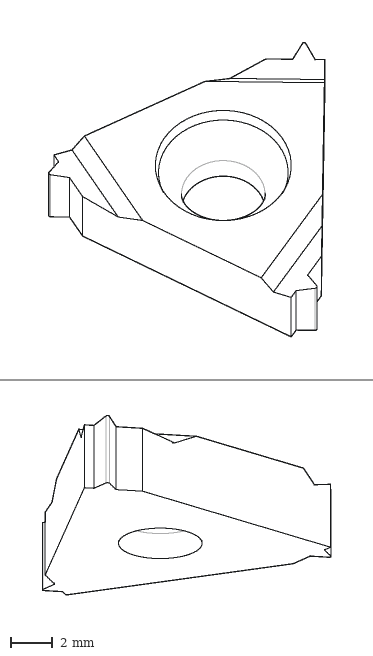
import cadquery as cq
import math

CORNERS = 3
CORNER_ANGLE = 360 / CORNERS
INSCRIBED_RADIUS = 9.525 / 2
THICKNESS = 3.65

NOSE_DISTANCE = 6.62
TIP_DISTANCE = 7.448
TOOTH_OFFSET = 1.0
TOOTH_HALF_ANGLE = math.radians(30)
TIP_RADIUS = 0.10

GROOVE_START = 4.95
GROOVE_DEPTH = 0.68
GROOVE_WALL_ANGLE = math.radians(45)
RAKE_ANGLE = math.radians(15)
GROOVE_CLEARANCE = 1.0

BORE_RADIUS = 2.0
SEAT_RADIUS = 3.10
MOUTH_RADIUS = 3.25
MOUTH_DEPTH = 0.58
SEAT_CURVE_RADIUS = 2.0


def rotated(shape, index):
    """Copy of a corner shape turned to corner number `index`."""
    return shape.rotate((0, 0, 0), (0, 0, 1), index * CORNER_ANGLE)


def make_triangle():
    """Triangular prism, flat on the -X side, with sharp corners."""
    circumscribed_diameter = 4 * INSCRIBED_RADIUS
    return cq.Workplane("XY").polygon(CORNERS, circumscribed_diameter).extrude(THICKNESS)


def make_corner_trim():
    """Block that removes the sharp -Y corner beyond the nose flat."""
    sharp_corner_distance = INSCRIBED_RADIUS * math.sqrt(3)
    trim_length = sharp_corner_distance - NOSE_DISTANCE
    trim_width = trim_length * math.tan(math.radians(180 / CORNERS))
    return (
        cq.Workplane("XY")
        .box(trim_width, trim_length, THICKNESS, centered=False)
        .translate((-INSCRIBED_RADIUS, -sharp_corner_distance, 0))
    )


def make_tooth():
    """Pointed thread tooth with a rounded tip on the nose flat of the -Y corner."""
    center_x = -INSCRIBED_RADIUS + TOOTH_OFFSET
    tip_y = -TIP_DISTANCE
    round_center_y = tip_y + TIP_RADIUS
    sharp_tip_y = round_center_y - TIP_RADIUS / math.sin(TOOTH_HALF_ANGLE)
    half_base = (-NOSE_DISTANCE - sharp_tip_y) * math.tan(TOOTH_HALF_ANGLE)
    tangent_x = TIP_RADIUS * math.cos(TOOTH_HALF_ANGLE)
    tangent_y = round_center_y - TIP_RADIUS * math.sin(TOOTH_HALF_ANGLE)
    return (
        cq.Workplane("XY")
        .moveTo(center_x - half_base, -NOSE_DISTANCE)
        .lineTo(center_x - tangent_x, tangent_y)
        .threePointArc((center_x, tip_y), (center_x + tangent_x, tangent_y))
        .lineTo(center_x + half_base, -NOSE_DISTANCE)
        .close()
        .extrude(THICKNESS)
    )


def make_groove():
    """Cutter for the chip groove of the -Y corner: a steep wall and a rising rake face."""
    bottom_y = -GROOVE_START - GROOVE_DEPTH / math.tan(GROOVE_WALL_ANGLE)
    bottom_z = THICKNESS - GROOVE_DEPTH
    outer_y = -TIP_DISTANCE - GROOVE_CLEARANCE
    outer_z = bottom_z + (bottom_y - outer_y) * math.tan(RAKE_ANGLE)
    top_z = THICKNESS + GROOVE_CLEARANCE
    half_length = INSCRIBED_RADIUS + GROOVE_CLEARANCE
    return (
        cq.Workplane("YZ")
        .moveTo(-GROOVE_START, THICKNESS)
        .lineTo(bottom_y, bottom_z)
        .lineTo(outer_y, outer_z)
        .lineTo(outer_y, top_z)
        .lineTo(-GROOVE_START, top_z)
        .close()
        .extrude(half_length, both=True)
    )


def make_screw_hole():
    """Revolved cutter for the screw hole."""
    curve_center_r = BORE_RADIUS + SEAT_CURVE_RADIUS
    seat_z = THICKNESS - MOUTH_DEPTH
    seat_angle = math.acos((curve_center_r - SEAT_RADIUS) / SEAT_CURVE_RADIUS)
    curve_center_z = seat_z - SEAT_CURVE_RADIUS * math.sin(seat_angle)
    mid_r = curve_center_r - SEAT_CURVE_RADIUS * math.cos(seat_angle / 2)
    mid_z = curve_center_z + SEAT_CURVE_RADIUS * math.sin(seat_angle / 2)
    return (
        cq.Workplane("XZ")
        .lineTo(BORE_RADIUS, 0)
        .lineTo(BORE_RADIUS, curve_center_z)
        .threePointArc((mid_r, mid_z), (SEAT_RADIUS, seat_z))
        .lineTo(MOUTH_RADIUS, THICKNESS)
        .lineTo(0, THICKNESS)
        .close()
        .revolve(360, (0, 0, 0), (0, 1, 0))
    )


insert = make_triangle()
for corner in range(CORNERS):
    insert = insert.cut(rotated(make_corner_trim(), corner))
    insert = insert.union(rotated(make_tooth(), corner))
    insert = insert.cut(rotated(make_groove(), corner))

result = insert.cut(make_screw_hole())